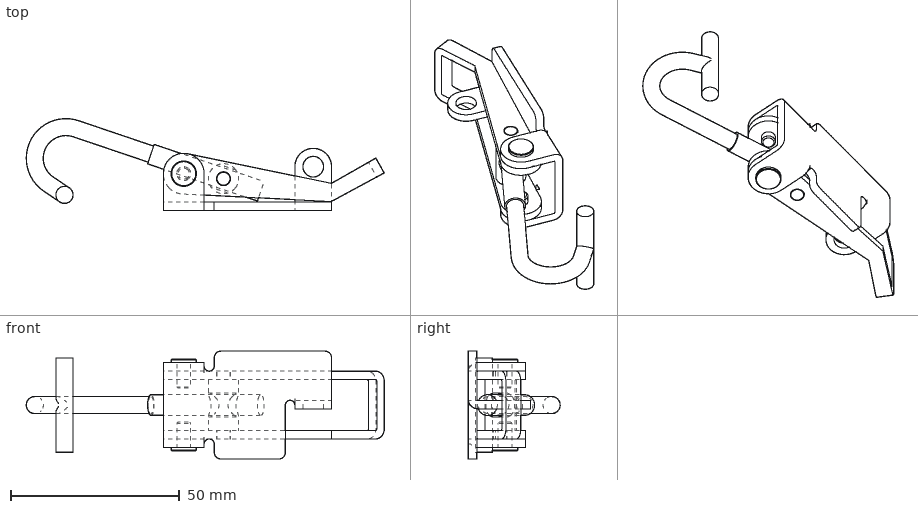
import cadquery as cq
import math


sheet = 2.5
bend_inner = 0.4
bend_outer = bend_inner + sheet
lever_inner_z = 7.5
lever_outer_z = lever_inner_z + sheet
ear_outer_z = lever_outer_z + sheet

pivot_y = 10.9
ear_radius = 6.0
plate_half_height = 16.0
plate_left = 9.0
plate_right = 43.8
step_x = 30.1
plate_corner = 2.0
tab_width = 10.9
tab_outer_z = -1.2
tab_inner_z = tab_outer_z + sheet
tab_top_y = 18.5
tab_hole_diameter = 6.0

pivot = (0, pivot_y)
rivet_head_diameter = 7.5
rivet_head_height = 1.0
rivet_head_chamfer = 0.2
rivet_shank_diameter = 4.1
rivet_tip_z = 5.0
rivet_tip_chamfer = 0.4

grip_upper = (43.7, 8.1)
grip_lower = (43.7, 2.7)
grip_angle = 29.5
grip_end_lower = (59.4, 11.1)
grip_width = 5.1

barrel_center = (11.8, 9.4)
barrel_diameter = 8.9
barrel_pin_diameter = 3.8
barrel_pin_hole_diameter = 4.1
stud_hole_diameter = 7.2

rod_angle = 18.7
rod_diameter = 5.1
stud_diameter = 6.2
stud_front = 22.7
stud_back = 11.7
hook_bend_radius = 9.2
hook_bend_start = 46.2
hook_end_angle = 236.0
hook_tail = 5.7
crossbar_length = 28.0


def disc(center, diameter, z_from, z_to):
    """Cylinder along Z between two heights."""
    return (
        cq.Workplane("XY", origin=(center[0], center[1], z_from))
        .circle(diameter / 2)
        .extrude(z_to - z_from)
    )


def tangent_point(point, radius, side):
    """Where a line from the point touches a circle about the pivot; side +1 is above, -1 below."""
    dx = point[0]
    dy = point[1] - pivot_y
    angle = math.atan2(dy, dx) + side * math.acos(radius / math.hypot(dx, dy))
    return (radius * math.cos(angle), pivot_y + radius * math.sin(angle))


def bent_flange(center_x, width, top_y, outer_z):
    """Round-topped flange bent up from the plate, with its outer face at +outer_z."""
    root_z = outer_z - bend_outer
    bend_mid = math.sqrt(0.5)
    strip = (
        cq.Workplane("YZ", origin=(center_x - width / 2, 0, 0))
        .moveTo(0, root_z)
        .threePointArc(
            (bend_outer * (1 - bend_mid), root_z + bend_outer * bend_mid),
            (bend_outer, outer_z),
        )
        .lineTo(top_y, outer_z)
        .lineTo(top_y, outer_z - sheet)
        .lineTo(bend_outer, outer_z - sheet)
        .threePointArc(
            (bend_outer - bend_inner * bend_mid, root_z + bend_inner * bend_mid),
            (sheet, root_z),
        )
        .close()
        .extrude(width)
    )
    radius = width / 2
    silhouette = (
        cq.Workplane("XY", origin=(center_x, 0, root_z))
        .moveTo(-radius, 0)
        .lineTo(-radius, top_y - radius)
        .threePointArc((0, top_y), (radius, top_y - radius))
        .lineTo(radius, 0)
        .close()
        .extrude(bend_outer)
    )
    return strip.intersect(silhouette)


def make_bracket():
    """Base plate with two ears for the rivets and one holed tab."""
    ear_root_z = ear_outer_z - bend_outer
    tab_root_z = tab_outer_z + bend_outer
    tab_left = plate_right - tab_width
    ear_relief = (plate_left - ear_radius) / 2
    ear_relief_x = ear_radius + ear_relief
    tab_relief = (tab_left - step_x) / 2
    tab_relief_x = step_x + tab_relief
    plate = (
        cq.Workplane("XZ")
        .moveTo(-ear_radius, -ear_root_z)
        .lineTo(ear_radius, -ear_root_z)
        .lineTo(ear_radius, -lever_outer_z - ear_relief)
        .threePointArc((ear_relief_x, -lever_outer_z), (plate_left, -lever_outer_z - ear_relief))
        .lineTo(plate_left, -plate_half_height)
        .lineTo(step_x, -plate_half_height)
        .lineTo(step_x, tab_inner_z - tab_relief)
        .threePointArc((tab_relief_x, tab_inner_z), (tab_left, tab_inner_z - tab_relief))
        .lineTo(tab_left, tab_root_z)
        .lineTo(plate_right, tab_root_z)
        .lineTo(plate_right, plate_half_height)
        .lineTo(plate_left, plate_half_height)
        .lineTo(plate_left, lever_outer_z + ear_relief)
        .threePointArc((ear_relief_x, lever_outer_z), (ear_radius, lever_outer_z + ear_relief))
        .lineTo(ear_radius, ear_root_z)
        .lineTo(-ear_radius, ear_root_z)
        .close()
        .extrude(-sheet)
    )
    outer_corners = [
        (plate_left, plate_half_height),
        (plate_right, plate_half_height),
        (plate_left, -plate_half_height),
        (step_x, -plate_half_height),
    ]
    for x, z in outer_corners:
        corner = cq.selectors.NearestToPointSelector((x, sheet / 2, z))
        plate = plate.edges(corner).fillet(plate_corner)

    ear = bent_flange(0, 2 * ear_radius, pivot_y + ear_radius, ear_outer_z)
    tab_center_x = plate_right - tab_width / 2
    tab = bent_flange(tab_center_x, tab_width, tab_top_y, -tab_outer_z).mirror("XY")
    tab_hole_center = (tab_center_x, tab_top_y - tab_width / 2)
    tab_hole = disc(tab_hole_center, tab_hole_diameter, tab_outer_z, tab_inner_z)
    shank_hole = disc(pivot, rivet_shank_diameter, -ear_outer_z, ear_outer_z)
    return plate.union(ear).union(ear.mirror("XY")).union(tab).cut(tab_hole).cut(shank_hole)


def make_rivet(side):
    """Rivet through one ear and lever arm; side +1 is the +Z one, -1 the -Z one."""
    head_top = ear_outer_z + rivet_head_height
    head = disc(pivot, rivet_head_diameter, ear_outer_z, head_top)
    head = head.faces(">Z").edges().chamfer(rivet_head_chamfer)
    shank = disc(pivot, rivet_shank_diameter, rivet_tip_z, ear_outer_z)
    shank = shank.faces("<Z").edges().chamfer(rivet_tip_chamfer)
    rivet = head.union(shank)
    return rivet if side > 0 else rivet.mirror("XY")


def make_lever():
    """U-shaped lever: two arms around the pivot, joined by a raised grip at the far end."""
    grip_end_upper = (
        grip_end_lower[0] - grip_width * math.sin(math.radians(grip_angle)),
        grip_end_lower[1] + grip_width * math.cos(math.radians(grip_angle)),
    )
    solid = (
        cq.Workplane("XY", origin=(0, 0, -lever_outer_z))
        .moveTo(*tangent_point(grip_upper, ear_radius, 1))
        .threePointArc((-ear_radius, pivot_y), tangent_point(grip_lower, ear_radius, -1))
        .lineTo(*grip_lower)
        .lineTo(*grip_end_lower)
        .lineTo(*grip_end_upper)
        .lineTo(*grip_upper)
        .close()
        .extrude(2 * lever_outer_z)
    )
    end_middle_x = (grip_end_lower[0] + grip_end_upper[0]) / 2
    end_middle_y = (grip_end_lower[1] + grip_end_upper[1]) / 2
    for z in (-lever_outer_z, lever_outer_z):
        end_corner = cq.selectors.NearestToPointSelector((end_middle_x, end_middle_y, z))
        solid = solid.edges(end_corner).fillet(bend_outer)

    gap_length = 2 * grip_end_lower[0]
    gap = (
        cq.Workplane("XY")
        .box(gap_length, gap_length, 2 * lever_inner_z)
        .edges("|Y and >X")
        .fillet(bend_inner)
        .translate((-gap_length / 2 - sheet, 0, 0))
        .rotate((0, 0, 0), (0, 0, 1), grip_angle)
        .translate((grip_end_lower[0], grip_end_lower[1], 0))
    )
    shank_hole = disc(pivot, rivet_shank_diameter, -lever_outer_z, lever_outer_z)
    pin_hole = disc(barrel_center, barrel_pin_hole_diameter, -lever_outer_z, lever_outer_z)
    return solid.cut(gap).cut(shank_hole).cut(pin_hole)


def along_rod(distance):
    """Point on the rod axis; distance runs from the barrel centre towards the hook."""
    return cq.Vector(
        barrel_center[0] - distance * math.cos(math.radians(rod_angle)),
        barrel_center[1] + distance * math.sin(math.radians(rod_angle)),
        0,
    )


def rod_section(diameter, start, end):
    """Cylinder on the rod axis between two distances from the barrel centre."""
    direction = along_rod(end) - along_rod(start)
    solid = cq.Solid.makeCylinder(diameter / 2, end - start, along_rod(start), direction)
    return cq.Workplane(solid)


def make_barrel():
    """Barrel turning between the lever arms on its end pins, bored across for the stud."""
    body = disc(barrel_center, barrel_diameter, -lever_inner_z, lever_inner_z)
    pins = disc(barrel_center, barrel_pin_diameter, -lever_outer_z, lever_outer_z)
    stud_hole = rod_section(stud_hole_diameter, -barrel_diameter, barrel_diameter)
    return body.union(pins).cut(stud_hole)


def make_hook():
    """Stud and rod bent round into a hook, ending in a crossbar."""
    stud = rod_section(stud_diameter, -stud_back, stud_front)

    bend_start = along_rod(hook_bend_start)
    start_angle = math.radians(90 - rod_angle)
    end_angle = math.radians(hook_end_angle)

    def on_bend(angle):
        return (
            bend_start.x + hook_bend_radius * (math.cos(angle) - math.cos(start_angle)),
            bend_start.y + hook_bend_radius * (math.sin(angle) - math.sin(start_angle)),
        )

    bend_end = on_bend(end_angle)
    crossbar_center = (
        bend_end[0] - hook_tail * math.sin(end_angle),
        bend_end[1] + hook_tail * math.cos(end_angle),
    )
    rod_start = along_rod(stud_front)
    path = (
        cq.Workplane("XY")
        .moveTo(rod_start.x, rod_start.y)
        .lineTo(bend_start.x, bend_start.y)
        .threePointArc(on_bend((start_angle + end_angle) / 2), bend_end)
        .lineTo(*crossbar_center)
    )
    rod_plane = cq.Plane(origin=rod_start, xDir=(0, 0, 1), normal=bend_start - rod_start)
    rod = cq.Workplane(rod_plane).circle(rod_diameter / 2).sweep(path)
    crossbar = disc(crossbar_center, rod_diameter, -crossbar_length / 2, crossbar_length / 2)
    return stud.union(rod).union(crossbar)


bracket = make_bracket()
rivets = [make_rivet(side) for side in (1, -1)]
lever = make_lever()
barrel = make_barrel()
hook = make_hook()

result = cq.Compound.makeCompound(
    [bracket.val(), *[rivet.val() for rivet in rivets], lever.val(), barrel.val(), hook.val()]
)